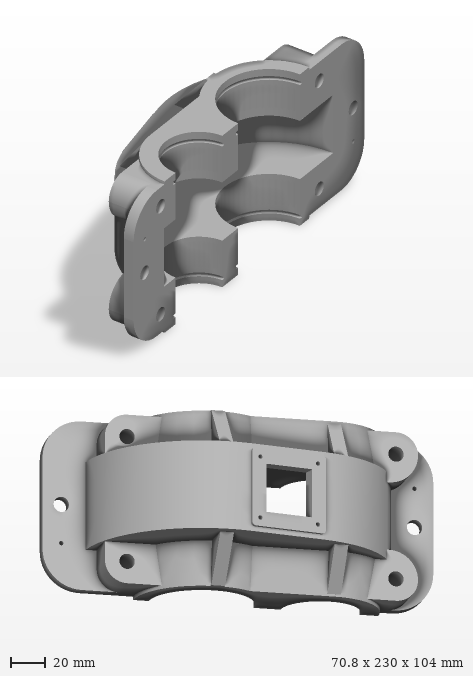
import cadquery as cq
import math


flange_length = 230.0
flange_height = 100.0
flange_thickness = 7.0
flange_corner_radius = 23.0

big_shaft_y = 20.0
shaft_distance = 70.0
small_shaft_y = big_shaft_y - shaft_distance
big_bore_radius = 30.8
small_bore_radius = 23.2
groove_width = 2.5
groove_depth = 2.0
groove_lip = 4.8

hub_half_height = 52.0
big_hub_top_radius = 40.0
big_hub_base_radius = 43.0
small_hub_top_radius = 34.3
small_hub_base_radius = 37.5

case_half_height = 26.0
case_wall = 6.0
big_case_radius = 70.0
small_case_radius = 64.9
small_case_x = 3.5
small_case_y = -25.8

plate_size = 46.2
plate_thickness = 2.0
plate_corner_radius = 2.3
window_size = 28.5
screw_spacing = 36.0
screw_diameter = 2.5
screw_depth = 5.8

rib_width = 8.0
big_rib_foot_x = -63.2
big_rib_top_x = -41.5
small_rib_foot_x = -52.5
small_rib_top_x = -34.5
small_rib_top_z = 50.5
rib_root_x = -32.2

boss_front_x = -27.1
boss_hole_z = 37.0
boss_top_radius = flange_height / 2 - boss_hole_z
boss_bottom_radius = 17.0
big_boss_hole_y = 70.2
small_boss_hole_y = -88.0
bolt_diameter = 9.0
flange_hole_y = 104.0
pin_diameter = 2.5
pin_offset_z = 23.0

arc_centre_dy = big_shaft_y - small_case_y
arc_centre_distance = math.hypot(small_case_x, arc_centre_dy)
flat_angle = (math.asin((big_case_radius - small_case_radius) / arc_centre_distance)
              + math.atan2(small_case_x, arc_centre_dy))


def prism(outline, half_height):
    """Extrude an XY outline to both sides of Z = 0."""
    return outline.extrude(half_height, both=True)


def z_cylinder(y, radius, z_start, height):
    """Cylinder along Z with its axis on the joint face."""
    return cq.Workplane("XY", origin=(0, y, z_start)).circle(radius).extrude(height)


def point_at(x, y, radius, angle):
    """Point on a circle, angle measured from -X and growing toward -Y."""
    return (x - radius * math.cos(angle), y - radius * math.sin(angle))


def case_profile(inset):
    """Case outline in XY, moved inward by the inset."""
    big_radius = big_case_radius - inset
    small_radius = small_case_radius - inset
    big_mid_angle = (flat_angle - math.pi / 2) / 2
    small_end_angle = math.acos(small_case_x / small_radius)
    small_mid_angle = (flat_angle + small_end_angle) / 2
    return (
        cq.Workplane("XY")
        .moveTo(0, big_shaft_y + big_radius)
        .threePointArc(
            point_at(0, big_shaft_y, big_radius, big_mid_angle),
            point_at(0, big_shaft_y, big_radius, flat_angle),
        )
        .lineTo(*point_at(small_case_x, small_case_y, small_radius, flat_angle))
        .threePointArc(
            point_at(small_case_x, small_case_y, small_radius, small_mid_angle),
            point_at(small_case_x, small_case_y, small_radius, small_end_angle),
        )
        .close()
    )


def hub():
    """Upper hub: two cones and the tapered web between them, cut off at the joint face."""
    height = hub_half_height - case_half_height

    def cone(y, base_radius, top_radius):
        solid = cq.Solid.makeCone(base_radius, top_radius, height, cq.Vector(0, y, case_half_height))
        return cq.Workplane(obj=solid)

    web = (
        cq.Workplane("XZ", origin=(0, big_shaft_y, 0))
        .moveTo(0, case_half_height)
        .lineTo(-small_hub_base_radius, case_half_height)
        .lineTo(-small_hub_top_radius, hub_half_height)
        .lineTo(0, hub_half_height)
        .close()
        .extrude(shaft_distance)
    )
    big_cone = cone(big_shaft_y, big_hub_base_radius, big_hub_top_radius)
    small_cone = cone(small_shaft_y, small_hub_base_radius, small_hub_top_radius)
    beyond_joint = cq.Workplane("XY").box(
        flange_length, flange_length, flange_length, centered=(False, True, True))
    return big_cone.union(small_cone).union(web).cut(beyond_joint)


def rib(shaft_y, foot_x, top_x, top_z):
    """Upper triangular rib on a shaft centre; its inner side is buried in the hub."""
    return (
        cq.Workplane("XZ", origin=(0, shaft_y + rib_width / 2, 0))
        .moveTo(foot_x, case_half_height)
        .lineTo(top_x, top_z)
        .lineTo(rib_root_x, top_z)
        .lineTo(rib_root_x, case_half_height)
        .close()
        .extrude(rib_width)
    )


def boss(hole_y, shaft_y, round_bottom):
    """Upper bolt boss: rounded at its free end, buried in the hub at the other end."""
    side = math.copysign(1, hole_y)
    end_y = hole_y + side * boss_top_radius
    top_z = boss_hole_z + boss_top_radius
    bottom_z = boss_hole_z - boss_bottom_radius
    bottom_centre_y = end_y - side * boss_bottom_radius
    profile = (
        cq.Workplane("YZ", origin=(boss_front_x, 0, 0))
        .moveTo(shaft_y, top_z)
        .lineTo(hole_y, top_z)
        .tangentArcPoint((end_y, boss_hole_z), relative=False)
    )
    if round_bottom:
        profile = profile.tangentArcPoint((bottom_centre_y, bottom_z), relative=False)
    else:
        profile = profile.lineTo(end_y, bottom_z)
    return profile.lineTo(shaft_y, bottom_z).close().extrude(-boss_front_x)


def with_mirror(upper):
    """The upper features together with their mirror image below Z = 0."""
    return upper.union(upper.mirror("XY"))


def x_holes(points, diameter):
    """Cutters along X at (Y, Z) points, reaching from the boss fronts to the joint face."""
    return (
        cq.Workplane("YZ", origin=(boss_front_x, 0, 0))
        .pushPoints(points).circle(diameter / 2).extrude(-boss_front_x)
    )


flat_start = point_at(0, big_shaft_y, big_case_radius, flat_angle)
flat_end = point_at(small_case_x, small_case_y, small_case_radius, flat_angle)
flat_plane = cq.Plane(
    origin=((flat_start[0] + flat_end[0]) / 2, (flat_start[1] + flat_end[1]) / 2, 0),
    xDir=(0, 0, 1),
    normal=(-math.cos(flat_angle), -math.sin(flat_angle), 0),
)

flange = (
    cq.Workplane("YZ").rect(flange_length, flange_height).extrude(-flange_thickness)
    .edges("|X").fillet(flange_corner_radius)
)
case = prism(case_profile(0), case_half_height)
cover_plate = (
    cq.Workplane(flat_plane).rect(plate_size, plate_size).extrude(plate_thickness)
    .edges(cq.selectors.ParallelDirSelector(flat_plane.zDir)).fillet(plate_corner_radius)
)
upper_features = (
    hub()
    .union(rib(big_shaft_y, big_rib_foot_x, big_rib_top_x, hub_half_height))
    .union(rib(small_shaft_y, small_rib_foot_x, small_rib_top_x, small_rib_top_z))
    .union(boss(big_boss_hole_y, big_shaft_y, round_bottom=False))
    .union(boss(small_boss_hole_y, small_shaft_y, round_bottom=True))
)
body = flange.union(case).union(cover_plate).union(with_mirror(upper_features))

body = body.cut(prism(case_profile(case_wall), case_half_height - case_wall))
for shaft_y, bore_radius in ((big_shaft_y, big_bore_radius), (small_shaft_y, small_bore_radius)):
    body = body.cut(z_cylinder(shaft_y, bore_radius, -hub_half_height, 2 * hub_half_height))
    groove = z_cylinder(shaft_y, bore_radius + groove_depth,
                        hub_half_height - groove_lip - groove_width, groove_width)
    body = body.cut(with_mirror(groove))

window_depth = plate_thickness + 2 * case_wall
plate_face = cq.Workplane(flat_plane).workplane(offset=plate_thickness)
opening = plate_face.rect(window_size, window_size).extrude(-window_depth)
screw_holes = (
    plate_face.rect(screw_spacing, screw_spacing, forConstruction=True).vertices()
    .circle(screw_diameter / 2).extrude(-screw_depth)
)
body = body.cut(opening).cut(screw_holes)

bolt_points = [(y, z) for y in (big_boss_hole_y, small_boss_hole_y) for z in (-boss_hole_z, boss_hole_z)]
bolt_points += [(-flange_hole_y, 0), (flange_hole_y, 0)]
pin_points = [(flange_hole_y, -pin_offset_z), (-flange_hole_y, pin_offset_z)]
result = body.cut(x_holes(bolt_points, bolt_diameter)).cut(x_holes(pin_points, pin_diameter))